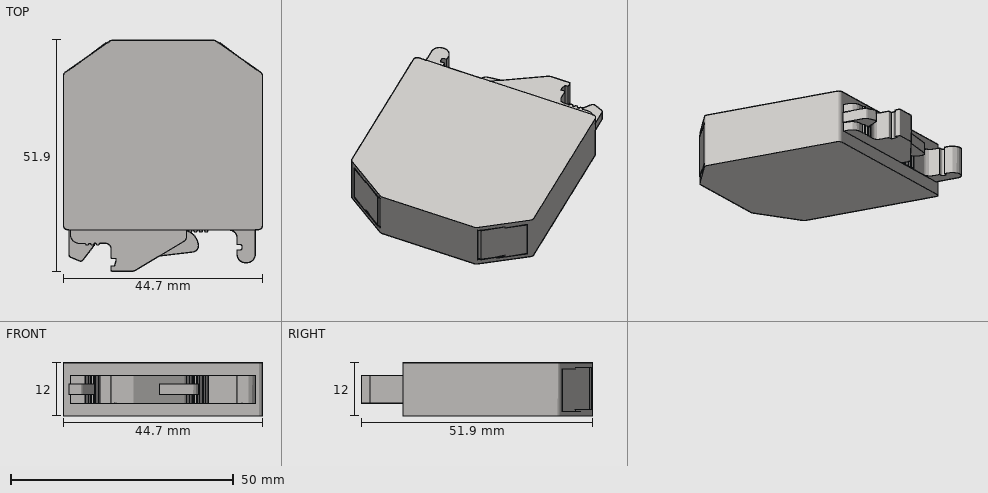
import cadquery as cq
import math


CASE_WIDTH = 44.7
CASE_LENGTH = 42.55
CASE_HEIGHT = 12.0
BEVEL_DROP = 7.45
BEVEL_ANGLE = math.radians(35)
CASE_ROUND = 1.0

COVER_HEIGHT = 9.5
COVER_SHIFT = 0.18
COVER_RAISE = 0.18
COVER_START = 0.7
COVER_CROSSING = 3.85
COVER_END = 6.75
FINGER_NOTCH_START = 2.7
FINGER_NOTCH_DEPTH = 0.3
BACK_NOTCH_START = 0.18

FOOT_HEIGHT = 6.3
FOOT_HALF_WIDTH = 20.75
FOOT_DEPTH = 9.35
EMBED = 0.5

HOOK_SHELF = 3.05
HOOK_LEFT = -11.65
HOOK_RIGHT = 5.3
HOOK_TIP_RIGHT = -6.55
HOOK_SLOPE = math.radians(31)
HOOK_NOTCH_TOP = 6.5
HOOK_NOTCH_BOTTOM = 8.1
HOOK_NOTCH_DEPTH = 1.1
HOOK_NOTCH_TAPER = 0.3
SHELF_END_ROUND = 2.0
SHELF_ROOT_ROUND = 1.2
TIP_ROUND = 0.3
SLOPE_ROUND = 2.0
SHOULDER_ROUND = 1.25

POST_WIDTH = 4.15
POST_LENGTH = 7.4
POST_ROOT_ROUND = 1.7
POST_TIP_ROUND = 1.95
WALL_THICKNESS = 0.08
POST_NOTCH_TOP = 3.3
POST_NOTCH_BOTTOM = 4.5
POST_NOTCH_DEPTH = 1.1
POST_NOTCH_ROUND = 0.3

SLIDE_HEIGHT = 2.4
SLIDE_ROUND = 0.7
TAIL_LEFT_CORNER = (-21.1, -6.0)
TAIL_TIP = (-18.25, -7.2)
TAIL_RIGHT_CORNER = (-15.4, -3.5)
NOSE_START = (-0.9, -5.9)
NOSE_TANGENT = (6.55, -5.05)
NOSE_LOWER_MID = (7.6, -4.5)
NOSE_TIP = (8.0, -3.5)
NOSE_UPPER_MID = (7.15, -1.45)
NOSE_END = (5.45, -0.2)

TOOTH_PITCH = 1.2
TOOTH_BASE = 0.95
TOOTH_TIP = 0.4
SHELF_TOOTH_HEIGHT = 0.35
SHELF_FIRST_TOOTH = -17.0
SHELF_TOOTH_COUNT = 3
WALL_TOOTH_HEIGHT = 0.45
WALL_FIRST_TOOTH = 6.1
WALL_TOOTH_COUNT = 4


def plate(outline, height):
    """Extrude a closed XY outline, centred on z = 0."""
    return outline.extrude(height / 2, both=True)


def polygon_plate(points, height):
    return plate(cq.Workplane("XY").polyline(points).close(), height)


def round_corner(body, x, y, radius):
    """Fillet the upright edge that stands at (x, y)."""
    return body.edges("|Z").edges(cq.NearestToPointSelector((x, y, 0))).fillet(radius)


def make_case():
    half = CASE_WIDTH / 2
    top_half = half - BEVEL_DROP / math.tan(BEVEL_ANGLE)
    points = [
        (-half, 0),
        (half, 0),
        (half, CASE_LENGTH - BEVEL_DROP),
        (top_half, CASE_LENGTH),
        (-top_half, CASE_LENGTH),
        (-half, CASE_LENGTH - BEVEL_DROP),
    ]
    return polygon_plate(points, CASE_HEIGHT).edges("|Z").fillet(CASE_ROUND)


def bevel_point(drop, outward):
    """Point at a given drop along the left bevel, moved outward along its normal."""
    x = -CASE_WIDTH / 2 + (BEVEL_DROP - drop) / math.tan(BEVEL_ANGLE)
    y = CASE_LENGTH - drop
    return (x - outward * math.sin(BEVEL_ANGLE), y + outward * math.cos(BEVEL_ANGLE))


def bevel_prism(corners):
    """Prism along z from (drop, outward) corners on the left bevel."""
    return polygon_plate([bevel_point(drop, outward) for drop, outward in corners], COVER_HEIGHT)


def add_terminal_covers(case):
    """Fit the same cover, with its two small notches, to both bevels."""
    sunken_depth = COVER_RAISE * (COVER_END - COVER_CROSSING) / (COVER_CROSSING - COVER_START)
    raised = bevel_prism([
        (COVER_START, -EMBED),
        (COVER_START, COVER_RAISE),
        (COVER_CROSSING, 0),
        (COVER_CROSSING, -EMBED),
    ])
    sunken = bevel_prism([
        (COVER_CROSSING, 0),
        (COVER_END, -sunken_depth),
        (COVER_END, EMBED),
        (COVER_CROSSING, EMBED),
    ])
    finger_notch = bevel_prism([
        (FINGER_NOTCH_START, 0),
        (COVER_CROSSING, -FINGER_NOTCH_DEPTH),
        (COVER_CROSSING, 0),
    ])
    notch_top = bevel_point(BACK_NOTCH_START, 0)
    notch_front = bevel_point(COVER_START, 0)
    back_notch = polygon_plate([notch_top, (notch_top[0], notch_front[1]), notch_front], COVER_HEIGHT)

    recesses = sunken.union(finger_notch).translate((0, 0, -COVER_SHIFT))
    raised = raised.translate((0, 0, COVER_SHIFT))
    back_notch = back_notch.translate((0, 0, COVER_SHIFT))
    case = case.cut(recesses).cut(recesses.mirror("YZ"))
    case = case.union(raised).union(raised.mirror("YZ"))
    return case.cut(back_notch).cut(back_notch.mirror("YZ"))


def make_hook():
    shoulder_y = -FOOT_DEPTH + (HOOK_RIGHT - HOOK_TIP_RIGHT) * math.tan(HOOK_SLOPE)
    notch_right = HOOK_LEFT + HOOK_NOTCH_DEPTH
    points = [
        (-FOOT_HALF_WIDTH, EMBED),
        (-FOOT_HALF_WIDTH, -HOOK_SHELF),
        (HOOK_LEFT, -HOOK_SHELF),
        (HOOK_LEFT, -HOOK_NOTCH_TOP),
        (notch_right, -HOOK_NOTCH_TOP),
        (notch_right, -HOOK_NOTCH_TOP - HOOK_NOTCH_DEPTH / 2),
        (notch_right - HOOK_NOTCH_TAPER, -HOOK_NOTCH_BOTTOM),
        (HOOK_LEFT, -HOOK_NOTCH_BOTTOM),
        (HOOK_LEFT, -FOOT_DEPTH),
        (HOOK_TIP_RIGHT, -FOOT_DEPTH),
        (HOOK_RIGHT, shoulder_y),
        (HOOK_RIGHT, EMBED),
    ]
    hook = polygon_plate(points, FOOT_HEIGHT)
    hook = round_corner(hook, -FOOT_HALF_WIDTH, -HOOK_SHELF, SHELF_END_ROUND)
    hook = round_corner(hook, HOOK_LEFT, -HOOK_SHELF, SHELF_ROOT_ROUND)
    hook = round_corner(hook, HOOK_LEFT, -FOOT_DEPTH, TIP_ROUND)
    hook = round_corner(hook, HOOK_LEFT, -HOOK_NOTCH_TOP, TIP_ROUND)
    hook = round_corner(hook, HOOK_TIP_RIGHT, -FOOT_DEPTH, SLOPE_ROUND)
    return round_corner(hook, HOOK_RIGHT, shoulder_y, SHOULDER_ROUND)


def make_post():
    """Post at the right end, with the thin wall that joins it to the hook."""
    left = FOOT_HALF_WIDTH - POST_WIDTH
    points = [
        (HOOK_RIGHT, EMBED),
        (HOOK_RIGHT, -WALL_THICKNESS),
        (left, -WALL_THICKNESS),
        (left, -POST_LENGTH),
        (FOOT_HALF_WIDTH, -POST_LENGTH),
        (FOOT_HALF_WIDTH, EMBED),
    ]
    post = polygon_plate(points, FOOT_HEIGHT)
    post = round_corner(post, left, -WALL_THICKNESS, POST_ROOT_ROUND)
    post = round_corner(post, left, -POST_LENGTH, POST_TIP_ROUND)
    post = round_corner(post, FOOT_HALF_WIDTH, -POST_LENGTH, POST_TIP_ROUND)
    notch_width = POST_NOTCH_BOTTOM - POST_NOTCH_TOP
    notch_y = -(POST_NOTCH_TOP + POST_NOTCH_BOTTOM) / 2
    notch_outline = cq.Workplane("XY").center(left, notch_y).rect(2 * POST_NOTCH_DEPTH, notch_width)
    notch = plate(notch_outline, FOOT_HEIGHT).edges("|Z and >X").fillet(POST_NOTCH_ROUND)
    return post.cut(notch)


def make_slide_tail():
    """Pointed tab at the left end of the slide."""
    points = [
        (TAIL_LEFT_CORNER[0], EMBED),
        TAIL_LEFT_CORNER,
        TAIL_TIP,
        TAIL_RIGHT_CORNER,
        (TAIL_RIGHT_CORNER[0], EMBED),
    ]
    tail = polygon_plate(points, SLIDE_HEIGHT)
    tail = round_corner(tail, *TAIL_LEFT_CORNER, SLIDE_ROUND)
    return round_corner(tail, *TAIL_TIP, SLIDE_ROUND)


def make_slide_nose():
    """Rounded tab that shows to the right of the hook."""
    outline = (
        cq.Workplane("XY")
        .moveTo(NOSE_START[0], EMBED)
        .lineTo(*NOSE_START)
        .lineTo(*NOSE_TANGENT)
        .threePointArc(NOSE_LOWER_MID, NOSE_TIP)
        .threePointArc(NOSE_UPPER_MID, NOSE_END)
        .lineTo(HOOK_RIGHT, EMBED)
        .close()
    )
    return plate(outline, SLIDE_HEIGHT)


def make_teeth(first_x, root_y, height, count):
    """Row of trapezoidal teeth that point toward -y."""
    teeth = cq.Workplane("XY")
    for index in range(count):
        x = first_x + index * TOOTH_PITCH
        points = [
            (x - TOOTH_BASE / 2, root_y + EMBED),
            (x - TOOTH_BASE / 2, root_y),
            (x - TOOTH_TIP / 2, root_y - height),
            (x + TOOTH_TIP / 2, root_y - height),
            (x + TOOTH_BASE / 2, root_y),
            (x + TOOTH_BASE / 2, root_y + EMBED),
        ]
        teeth = teeth.add(polygon_plate(points, FOOT_HEIGHT))
    return teeth.combine()


result = add_terminal_covers(make_case())
result = result.union(make_hook()).union(make_post())
result = result.union(make_slide_tail()).union(make_slide_nose())
result = result.union(make_teeth(SHELF_FIRST_TOOTH, -HOOK_SHELF, SHELF_TOOTH_HEIGHT, SHELF_TOOTH_COUNT))
result = result.union(make_teeth(WALL_FIRST_TOOTH, -WALL_THICKNESS, WALL_TOOTH_HEIGHT, WALL_TOOTH_COUNT))